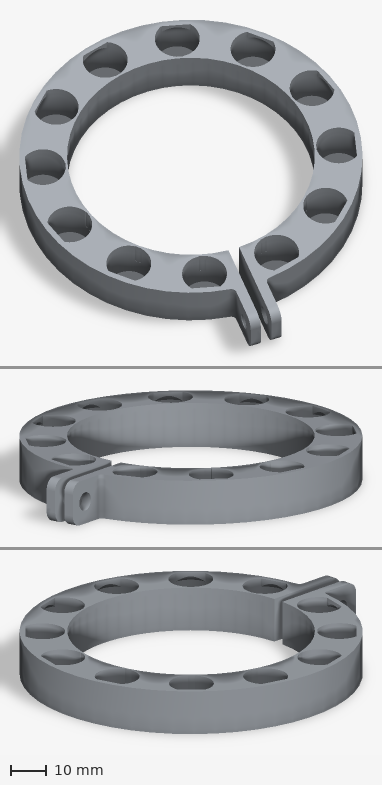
import cadquery as cq
import math

ring_outer_diameter = 95.76
ring_inner_diameter = 69.1
ring_height = 12.7

pocket_count = 12
pocket_diameter = 12.51
pocket_circle_radius = 41.4
pocket_floor = 1.0
lip_height = 2.54
lip_face_radius = 46.15
lip_underside_angle = 45.0

groove_width = 2.0
groove_depth = 0.02
groove_length = 6.7

clamp_angle = -15.0
gap_width = 3.175
ear_thickness = 3.0
ear_end_radius = 60.62
ear_corner_radius = 3.175
ear_root_fillet = 1.5

small_screw_diameter = 4.19
large_screw_diameter = 5.33
screw_radius = 54.96

ring_outer_radius = ring_outer_diameter / 2
ring_inner_radius = ring_inner_diameter / 2
ring_middle_radius = (ring_outer_radius + ring_inner_radius) / 2
pocket_radius = pocket_diameter / 2
clamp_width = gap_width + 2 * ear_thickness


def block_along_x(start, end, width, bottom=0.0):
    """Block centred on the X axis, reaching from the bottom height to the ring top."""
    return (
        cq.Workplane("XY", origin=(start, 0, bottom))
        .box(end - start, width, ring_height - bottom, centered=(False, True, False))
    )


def turned_about_z(solid, angle):
    return solid.rotate((0, 0, 0), (0, 0, 1), angle)


def split_ring():
    """Ring and ears, built with the clamp gap along +X."""
    ears = block_along_x(ring_middle_radius, ear_end_radius, clamp_width)
    body = cq.Workplane("XY").circle(ring_outer_radius).extrude(ring_height).union(ears)

    ear_side = clamp_width / 2
    root_x = math.sqrt(ring_outer_radius**2 - ear_side**2)
    for side in (-1, 1):
        root = cq.selectors.NearestToPointSelector((root_x, side * ear_side, ring_height / 2))
        body = body.edges(root).fillet(ear_root_fillet)
    body = body.edges("|Y and >X").fillet(ear_corner_radius)

    bore = cq.Workplane("XY").circle(ring_inner_radius).extrude(ring_height)
    return body.cut(bore).cut(block_along_x(0, ear_end_radius, gap_width))


def screw_hole(diameter, side):
    """Hole through one ear; side is -1 or +1 along Y."""
    return (
        cq.Workplane("XZ")
        .center(screw_radius, ring_height / 2)
        .circle(diameter / 2)
        .extrude(-side * clamp_width)
    )


def pocket_lip():
    """Lip on the outer side of the pocket: flat face, conical underside."""
    underside_rise = pocket_radius * math.tan(math.radians(lip_underside_angle))
    lip_bottom = ring_height - lip_height
    cone = cq.Workplane(
        cq.Solid.makeCone(
            pocket_radius, 0, underside_rise, pnt=(pocket_circle_radius, 0, lip_bottom)
        )
    )
    return block_along_x(lip_face_radius, ring_outer_radius, pocket_diameter, lip_bottom).cut(cone)


def pocket():
    """Material removed for the pocket on the +X axis."""
    bore = (
        cq.Workplane("XY", origin=(pocket_circle_radius, 0, pocket_floor))
        .circle(pocket_radius)
        .extrude(ring_height - pocket_floor)
    )
    groove = block_along_x(
        pocket_circle_radius - pocket_radius - groove_depth,
        pocket_circle_radius,
        groove_width,
        ring_height - groove_length,
    )
    return bore.cut(pocket_lip()).union(groove)


body = split_ring()
body = body.cut(screw_hole(small_screw_diameter, -1))
body = body.cut(screw_hole(large_screw_diameter, 1))
body = turned_about_z(body, clamp_angle)

for index in range(pocket_count):
    body = body.cut(turned_about_z(pocket(), index * 360 / pocket_count))

result = body